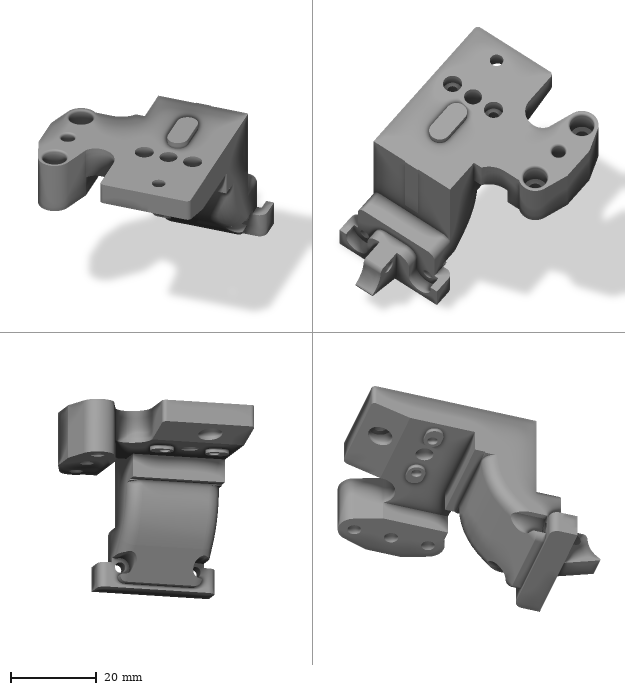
import cadquery as cq
import math


HALF_WIDTH = 11.2
PLATE_FRONT = -16.4
PLATE_DEPTH = 7.6
NOSE_DEPTH = 5.1
UNDERCUT_ANGLE = 15.0
PLATE_CORNER = 1.0
BLOCK_FRONT = 8.75
BLOCK_BACK = 23.85
BLOCK_DEPTH = 13.05
KEY_WIDTH = 5.0
KEY_LENGTH = 11.5
KEY_HEIGHT = 1.55
KEY_Y = 9.7
RIB_WIDTH = 3.75
RIB_HEIGHT = 0.2
RIB_DEPTH = 18.65

CENTRE_HOLE = 4.2
SCREW_X = 6.0
SCREW_HOLE = 2.5
SCREW_BORE = 4.5
SCREW_BORE_DEPTH = 2.95
PAD_WIDTH = 4.2
PAD_STRETCH = 1.5
PAD_HEIGHT = 0.9
NOSE_HOLE = 3.2
NOSE_HOLE_X = 1.7
NOSE_HOLE_Y = -11.4
NOSE_BORE = 5.7
NOSE_BORE_TOP = -3.55

ARM_LEFT = -30.8
ARM_DEPTH = 12.6
ARM_HOLE_X = -25.0
ARM_PITCH = 9.05
ARM_END_RADIUS = 3.9
ARM_FLAT = 4.3
ARM_THICK_RIGHT = -19.1
ARM_BACK = 12.05
NECK_BACK = 14.55
NECK_BLEND_LEFT = -18.3
NECK_BLEND_RIGHT = -13.35
SCALLOP_TOP_X = -16.0
SCALLOP_TOP_Y = -2.2
SCALLOP_LEFT_Y = -3.9
ARM_HOLE = 3.2
ARM_BORE = 5.7
ARM_BORE_DEPTH = 5.3
ARM_BORE_ROUNDING = 0.55
PIN_HOLE = 3.3
PIN_ROUNDING = 0.55

DUCT_FRONT = 11.3
DUCT_TOP = 13.35
DUCT_RADIUS = 20.0
DUCT_BEND = 45.0
DUCT_FILLET = 3.0
DUCT_BOTTOM = 34.7
LEDGE_BACK = 29.9
LEDGE_TOP = 21.0
LEDGE_FILLET = 2.0

FLANGE_HALF_WIDTH = 14.25
FLANGE_FRONT = 26.6
FLANGE_BACK = 33.0
FLANGE_TOP = 29.8
FLANGE_BOTTOM = 35.65
FLANGE_CORNER = 1.95
FLANGE_SCREW_X = 9.2
FLANGE_SCREW_Z = -30.9
FLANGE_HOLE = 2.5
FLANGE_SPOT = 4.5
SLOT_WIDTH = 6.3
CLEARANCE_TOP = 28.8
FOOT_HALF_WIDTH = 9.9

ROOT_HALF_WIDTH = FLANGE_SCREW_X - SLOT_WIDTH / 2
ROOT_TOP = 24.05
ROOT_FILLET = 3.0
FINGER_WIDTH = 5.0
FINGER_HOLE = 3.1
FINGER_HOLE_Y = 36.05
FINGER_HOLE_Z = -26.35
FINGER_KNUCKLE_START = (38.5, -ROOT_TOP)
FINGER_KNUCKLE_MID = (39.0, -24.55)
FINGER_KNUCKLE_END = (39.3, -25.4)
FINGER_HOLLOW_MID = (40.2, -28.5)
FINGER_HOLLOW_END = (42.2, -30.4)
FINGER_TIP_TOP = (42.4, -30.65)
FINGER_TIP_BOTTOM = (42.4, -31.05)
FINGER_BOTTOM = 34.5

MARGIN = 0.6


def box(x_range, y_range, z_range):
    """Box between two limits along each axis."""
    (x0, x1), (y0, y1), (z0, z1) = x_range, y_range, z_range
    return cq.Workplane("XY").box(x1 - x0, y1 - y0, z1 - z0, centered=False).translate((x0, y0, z0))


def centred_box(half_width, y_range, z_range):
    """Box that is symmetric about X = 0."""
    return box((-half_width, half_width), y_range, z_range)


def drill(x, y, diameter, top, bottom):
    """Vertical cylinder between two heights."""
    return cq.Workplane("XY", origin=(x, y, bottom)).circle(diameter / 2).extrude(top - bottom)


def drill_y(x, z, diameter, front, back):
    """Cylinder along Y between two depths."""
    plane = cq.Workplane("XZ", origin=(x, front, z))
    return plane.circle(diameter / 2).extrude(front - back)


def extrude_across(profile, half_width):
    """Extrude a YZ profile to both sides of X = 0."""
    return profile.extrude(half_width, both=True)


def polar(centre, radius, angle):
    """Point on a circle at an angle in radians."""
    return (centre[0] + radius * math.cos(angle), centre[1] + radius * math.sin(angle))


def tangent_point(from_point, centre, radius, turn):
    """Point where a line from a given point touches a circle; turn (+1 or -1) picks the side."""
    dx = from_point[0] - centre[0]
    dy = from_point[1] - centre[1]
    angle = math.atan2(dy, dx) + turn * math.acos(radius / math.hypot(dx, dy))
    return polar(centre, radius, angle)


def make_plate():
    """Plate with a sloping nose underneath, together with the deep block at its back."""
    slope_length = (PLATE_DEPTH - NOSE_DEPTH) / math.tan(math.radians(UNDERCUT_ANGLE))
    profile = (
        cq.Workplane("YZ")
        .moveTo(PLATE_FRONT, 0)
        .lineTo(PLATE_FRONT, -NOSE_DEPTH)
        .lineTo(PLATE_FRONT + slope_length, -PLATE_DEPTH)
        .lineTo(BLOCK_FRONT, -PLATE_DEPTH)
        .lineTo(BLOCK_FRONT, -BLOCK_DEPTH)
        .lineTo(BLOCK_BACK, -BLOCK_DEPTH)
        .lineTo(BLOCK_BACK, 0)
        .close()
    )
    plate = extrude_across(profile, HALF_WIDTH).edges("|Z and <Y").fillet(PLATE_CORNER)
    key = (
        cq.Workplane("XY", origin=(0, KEY_Y, 0))
        .slot2D(KEY_LENGTH, KEY_WIDTH, 90)
        .extrude(KEY_HEIGHT)
    )
    rib = centred_box(RIB_WIDTH / 2, (BLOCK_BACK, BLOCK_BACK + RIB_HEIGHT), (-RIB_DEPTH, 0))
    plate = plate.union(key).union(rib)
    for side in (-1, 1):
        pad_x = side * (SCREW_X + PAD_STRETCH / 2)
        pad = (
            cq.Workplane("XY", origin=(pad_x, 0, -PLATE_DEPTH - PAD_HEIGHT))
            .slot2D(PAD_WIDTH + PAD_STRETCH, PAD_WIDTH)
            .extrude(PAD_HEIGHT)
        )
        plate = plate.union(pad)
    return plate


def cut_plate_holes(body):
    """Large middle hole, two counterbored screw holes and the hole in the nose."""
    below = -PLATE_DEPTH - PAD_HEIGHT
    body = body.cut(drill(0, 0, CENTRE_HOLE, 0, below))
    for x in (-SCREW_X, SCREW_X):
        body = body.cut(drill(x, 0, SCREW_HOLE, 0, below))
        body = body.cut(drill(x, 0, SCREW_BORE, 0, -SCREW_BORE_DEPTH))
    body = body.cut(drill(NOSE_HOLE_X, NOSE_HOLE_Y, NOSE_HOLE, 0, below))
    return body.cut(drill(NOSE_HOLE_X, NOSE_HOLE_Y, NOSE_BORE, NOSE_BORE_TOP, below))


def make_arm():
    """Side arm with rounded ends, a scallop at its front and a thinner neck to the plate."""
    back_hole = (ARM_HOLE_X, ARM_PITCH)
    front_hole = (ARM_HOLE_X, -ARM_PITCH)
    left_back = (ARM_LEFT, ARM_FLAT)
    left_front = (ARM_LEFT, -ARM_FLAT)
    scallop_left = (ARM_THICK_RIGHT, SCALLOP_LEFT_Y)
    scallop_top = (SCALLOP_TOP_X, SCALLOP_TOP_Y)

    back_touch = tangent_point(left_back, back_hole, ARM_END_RADIUS, -1)
    front_touch = tangent_point(left_front, front_hole, ARM_END_RADIUS, 1)
    right_touch = tangent_point(scallop_left, front_hole, ARM_END_RADIUS, -1)
    back_end = polar(back_hole, ARM_END_RADIUS, math.asin((ARM_BACK - ARM_PITCH) / ARM_END_RADIUS))

    run = scallop_top[0] - scallop_left[0]
    drop = scallop_top[1] - scallop_left[1]
    small_radius = (run**2 + drop**2) / (2 * drop)
    small_angle = math.asin(run / small_radius) / 2
    small_mid = polar(
        (scallop_top[0], scallop_top[1] - small_radius), small_radius, math.pi / 2 + small_angle
    )
    large_radius = -HALF_WIDTH - SCALLOP_TOP_X
    large_centre = (SCALLOP_TOP_X, SCALLOP_TOP_Y - large_radius)

    outline = (
        cq.Workplane("XY")
        .moveTo(*left_front)
        .lineTo(*left_back)
        .lineTo(*back_touch)
        .threePointArc(polar(back_hole, ARM_END_RADIUS, math.pi / 2), back_end)
        .lineTo(NECK_BLEND_LEFT, ARM_BACK)
        .tangentArcPoint((NECK_BLEND_RIGHT, NECK_BACK), relative=False)
        .lineTo(0, NECK_BACK)
        .lineTo(0, large_centre[1])
        .lineTo(-HALF_WIDTH, large_centre[1])
        .threePointArc(polar(large_centre, large_radius, math.pi / 4), scallop_top)
        .threePointArc(small_mid, scallop_left)
        .lineTo(*right_touch)
        .threePointArc(polar(front_hole, ARM_END_RADIUS, -math.pi / 2), front_touch)
        .close()
    )
    arm = outline.extrude(-ARM_DEPTH)
    under_neck = box((ARM_THICK_RIGHT, 0), (PLATE_FRONT, BLOCK_BACK), (-ARM_DEPTH, -PLATE_DEPTH))
    return arm.cut(under_neck)


def rounded_mouth(x, y, diameter, rounding):
    """Flared ring that rounds the upper edge of a hole."""
    radius = diameter / 2
    arc_mid = polar((radius + rounding, -rounding), rounding, math.radians(135))
    return (
        cq.Workplane("XZ")
        .lineTo(radius + rounding, 0)
        .threePointArc(arc_mid, (radius, -rounding))
        .lineTo(0, -rounding)
        .close()
        .revolve(360, (0, 0), (0, 1))
        .translate((x, y, 0))
    )


def cut_arm_holes(body):
    """Two counterbored holes with a plain hole between them, all with rounded edges."""
    for y in (-ARM_PITCH, ARM_PITCH):
        body = body.cut(drill(ARM_HOLE_X, y, ARM_HOLE, 0, -ARM_DEPTH))
        body = body.cut(drill(ARM_HOLE_X, y, ARM_BORE, 0, -ARM_BORE_DEPTH))
        body = body.cut(rounded_mouth(ARM_HOLE_X, y, ARM_BORE, ARM_BORE_ROUNDING))
    body = body.cut(drill(ARM_HOLE_X, 0, PIN_HOLE, 0, -ARM_DEPTH))
    return body.cut(rounded_mouth(ARM_HOLE_X, 0, PIN_HOLE, PIN_ROUNDING))


def edges_between(y_range, z_range):
    """Selector for edges whose middle lies between two limits in Y and Z."""
    (y0, y1), (z0, z1) = y_range, z_range
    return cq.selectors.BoxSelector((-FLANGE_HALF_WIDTH, y0, z0), (FLANGE_HALF_WIDTH, y1, z1))


def make_duct():
    """Curved duct body: an arc through the bend angle, then a straight run down to the foot."""
    centre = (DUCT_FRONT + DUCT_RADIUS, -DUCT_TOP)
    arc_mid = polar(centre, DUCT_RADIUS, math.radians(180 + DUCT_BEND / 2))
    arc_end = polar(centre, DUCT_RADIUS, math.radians(180 + DUCT_BEND))
    tip_y = arc_end[0] + (DUCT_BOTTOM + arc_end[1]) * math.tan(math.radians(DUCT_BEND))
    profile = (
        cq.Workplane("YZ")
        .moveTo(DUCT_FRONT, -DUCT_TOP)
        .threePointArc(arc_mid, arc_end)
        .lineTo(tip_y, -DUCT_BOTTOM)
        .lineTo(LEDGE_BACK, -DUCT_BOTTOM)
        .lineTo(LEDGE_BACK, -LEDGE_TOP)
        .lineTo(BLOCK_BACK, -LEDGE_TOP)
        .lineTo(BLOCK_BACK, -DUCT_TOP)
        .close()
    )
    duct = extrude_across(profile, HALF_WIDTH)
    bend_edges = edges_between((DUCT_FRONT, tip_y - MARGIN), (-DUCT_BOTTOM + MARGIN, -DUCT_TOP - MARGIN))
    duct = duct.edges("(not |X) and (not |Y) and (not |Z)").edges(bend_edges).fillet(DUCT_FILLET)
    ledge_edges = edges_between((BLOCK_BACK, LEDGE_BACK), (-LEDGE_TOP - MARGIN, -LEDGE_TOP + MARGIN))
    duct = duct.edges("|Y").edges(ledge_edges).fillet(LEDGE_FILLET)
    collar = centred_box(HALF_WIDTH, (DUCT_FRONT, BLOCK_BACK), (-DUCT_TOP, -BLOCK_DEPTH))
    return duct.union(collar)


def cut_screw_clearance(body):
    """Clear the duct around and outside each flange screw, leaving a foot with rounded edges."""
    spot_bottom = FLANGE_SCREW_Z - FLANGE_SPOT / 2
    foot_round = DUCT_BOTTOM + spot_bottom
    foot_centre = (FOOT_HALF_WIDTH - foot_round, spot_bottom)
    outside = (
        cq.Workplane("XZ", origin=(0, FLANGE_FRONT, 0))
        .moveTo(FLANGE_SCREW_X, spot_bottom)
        .lineTo(FOOT_HALF_WIDTH, spot_bottom)
        .threePointArc(polar(foot_centre, foot_round, -math.pi / 4), (foot_centre[0], -DUCT_BOTTOM))
        .lineTo(FLANGE_HALF_WIDTH, -DUCT_BOTTOM)
        .lineTo(FLANGE_HALF_WIDTH, -CLEARANCE_TOP)
        .lineTo(FLANGE_SCREW_X, -CLEARANCE_TOP)
        .close()
        .extrude(FLANGE_FRONT)
    )
    spot = drill_y(FLANGE_SCREW_X, FLANGE_SCREW_Z, FLANGE_SPOT, 0, FLANGE_FRONT)
    clearance = outside.union(spot)
    return body.cut(clearance).cut(clearance.mirror("YZ"))


def make_flange():
    """Mounting flange at the bottom with the raised root of the finger."""
    flange = centred_box(FLANGE_HALF_WIDTH, (FLANGE_FRONT, FLANGE_BACK), (-FLANGE_BOTTOM, -FLANGE_TOP))
    flange = flange.edges("|Z and <Y").fillet(FLANGE_CORNER)
    root = centred_box(ROOT_HALF_WIDTH, (FLANGE_FRONT, FLANGE_BACK), (-FLANGE_BOTTOM, -ROOT_TOP))
    root = root.edges("|Y and >Z").fillet(ROOT_FILLET)
    return flange.union(root)


def cut_flange_screws(body):
    """Screw holes along Y, each with a round-bottomed slot behind that is open at the top."""
    for x in (-FLANGE_SCREW_X, FLANGE_SCREW_X):
        body = body.cut(drill_y(x, FLANGE_SCREW_Z, FLANGE_HOLE, 0, FLANGE_BACK))
        body = body.cut(drill_y(x, FLANGE_SCREW_Z, SLOT_WIDTH, LEDGE_BACK, FLANGE_BACK))
        slot = box(
            (x - SLOT_WIDTH / 2, x + SLOT_WIDTH / 2),
            (LEDGE_BACK, FLANGE_BACK),
            (FLANGE_SCREW_Z, -FLANGE_TOP),
        )
        body = body.cut(slot)
    return body


def make_finger():
    """Hooked finger behind the flange with a cross hole."""
    profile = (
        cq.Workplane("YZ")
        .moveTo(FLANGE_FRONT, -ROOT_TOP)
        .lineTo(*FINGER_KNUCKLE_START)
        .threePointArc(FINGER_KNUCKLE_MID, FINGER_KNUCKLE_END)
        .threePointArc(FINGER_HOLLOW_MID, FINGER_HOLLOW_END)
        .lineTo(*FINGER_TIP_TOP)
        .lineTo(*FINGER_TIP_BOTTOM)
        .lineTo(FLANGE_BACK, -FINGER_BOTTOM)
        .lineTo(FLANGE_FRONT, -FINGER_BOTTOM)
        .close()
    )
    finger = extrude_across(profile, FINGER_WIDTH / 2)
    hole = cq.Workplane("YZ").center(FINGER_HOLE_Y, FINGER_HOLE_Z).circle(FINGER_HOLE / 2)
    return finger.cut(extrude_across(hole, FINGER_WIDTH))


deck = cut_arm_holes(cut_plate_holes(make_plate().union(make_arm())))
duct = cut_screw_clearance(make_duct().union(make_flange()))
mount = cut_flange_screws(duct).union(make_finger())
result = deck.union(mount)